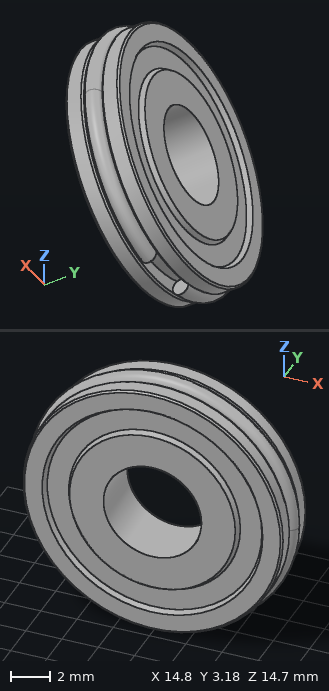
import cadquery as cq

wheel_diameter = 14.34
wheel_width = 3.18
bore_diameter = 5.4
rim_chamfer = 0.1

groove_diameter = 12.48
groove_width = 1.1

recess_outer_diameter = 12.17
recess_inner_diameter = 9.14
recess_depth = 0.28
recess_wall_lean = 0.16

ring_outer_diameter = 14.84
wire_diameter = 0.92
ring_gap = 3.15


def revolve_about_y(profile):
    """Revolve a profile drawn as (radius, Y) through a full turn about Y."""
    return profile.revolve(360, (0, 0, 0), (0, 1, 0))


def make_wheel_blank():
    blank = cq.Workplane("XZ").circle(wheel_diameter / 2).circle(bore_diameter / 2)
    return blank.extrude(wheel_width / 2, both=True)


def make_groove():
    """Rectangular rim groove whose mouth is opened out by chamfers."""
    floor_radius = groove_diameter / 2
    rim_radius = wheel_diameter / 2
    half_width = groove_width / 2
    half_mouth = half_width + rim_chamfer
    profile = cq.Workplane("XY").polyline([
        (floor_radius, -half_width),
        (rim_radius - rim_chamfer, -half_width),
        (rim_radius, -half_mouth),
        (rim_radius, half_mouth),
        (rim_radius - rim_chamfer, half_width),
        (floor_radius, half_width),
    ]).close()
    return revolve_about_y(profile)


def make_front_recess():
    outer_radius = recess_outer_diameter / 2
    inner_radius = recess_inner_diameter / 2
    face_y = -wheel_width / 2
    floor_y = face_y + recess_depth
    profile = cq.Workplane("XY").polyline([
        (inner_radius, face_y),
        (outer_radius, face_y),
        (outer_radius - recess_wall_lean, floor_y),
        (inner_radius + recess_wall_lean, floor_y),
    ]).close()
    return revolve_about_y(profile)


def make_wheel():
    wheel = make_wheel_blank()
    outer_rims = wheel.faces("<Y or >Y").edges(cq.selectors.RadiusNthSelector(-1))
    wheel = outer_rims.chamfer(rim_chamfer)
    front_recess = make_front_recess()
    back_recess = front_recess.mirror("XZ")
    return wheel.cut(make_groove()).cut(front_recess).cut(back_recess)


def make_split_ring():
    """Wire ring opened at the bottom by a straight, parallel-sided gap."""
    wire_centre_radius = (ring_outer_diameter - wire_diameter) / 2
    section = cq.Workplane("XY").center(wire_centre_radius, 0).circle(wire_diameter / 2)
    ring = section.revolve(360, (-wire_centre_radius, 0, 0), (-wire_centre_radius, 1, 0))
    gap_cutter = cq.Workplane("XY").box(
        ring_gap, wheel_width, ring_outer_diameter, centered=(True, True, False)
    ).translate((0, 0, -ring_outer_diameter))
    return ring.cut(gap_cutter)


wheel = make_wheel()
split_ring = make_split_ring()

result = cq.Compound.makeCompound([wheel.val(), split_ring.val()])